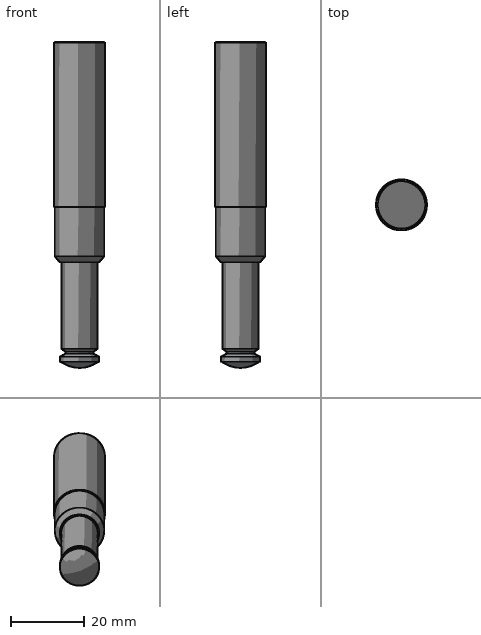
import cadquery as cq

total_height = 89.0
shank_bottom = 43.8
collar_bottom = 28.8
rod_bottom = 5.25
rim_top = 3.1
rim_bottom = 1.8

shank_diameter = 14.0
collar_diameter = 13.5
collar_end_diameter = 10.8
rod_diameter = 9.9
neck_diameter = 7.7
head_diameter = 10.8

shank_top_chamfer_height = 0.4
shank_top_chamfer_width = 0.5
shank_bottom_chamfer = 0.3
collar_cone_height = 1.6
rod_bevel_height = 0.8
head_cone_height = 0.8

rod_radius = rod_diameter / 2
neck_radius = neck_diameter / 2
head_radius = head_diameter / 2


def revolve_profile(profile):
    """Turn a closed (radius, height) profile about the Z axis."""
    return profile.close().revolve(360, (0, 0, 0), (0, 1, 0))


def make_shank():
    """Long cylinder with bevelled edges."""
    radius = shank_diameter / 2
    return revolve_profile(
        cq.Workplane("XZ")
        .moveTo(0, shank_bottom)
        .lineTo(radius - shank_bottom_chamfer, shank_bottom)
        .lineTo(radius, shank_bottom + shank_bottom_chamfer)
        .lineTo(radius, total_height - shank_top_chamfer_height)
        .lineTo(radius - shank_top_chamfer_width, total_height)
        .lineTo(0, total_height)
    )


def make_collar():
    """Cylinder below the shank, tapering to a cone at its lower end."""
    radius = collar_diameter / 2
    return revolve_profile(
        cq.Workplane("XZ")
        .moveTo(0, collar_bottom)
        .lineTo(collar_end_diameter / 2, collar_bottom)
        .lineTo(radius, collar_bottom + collar_cone_height)
        .lineTo(radius, shank_bottom)
        .lineTo(0, shank_bottom)
    )


def make_plunger():
    """Rod with a bevelled lower end, a neck and a double-cone head with a rounded tip."""
    tip_radius = neck_radius
    tip_height = rim_bottom - head_cone_height
    tip_sphere_radius = (tip_radius**2 + tip_height**2) / (2 * tip_height)
    arc_mid_radius = tip_radius / 2
    arc_mid_height = tip_sphere_radius - (tip_sphere_radius**2 - arc_mid_radius**2) ** 0.5
    return revolve_profile(
        cq.Workplane("XZ")
        .moveTo(0, 0)
        .threePointArc((arc_mid_radius, arc_mid_height), (tip_radius, tip_height))
        .lineTo(head_radius, rim_bottom)
        .lineTo(head_radius, rim_top)
        .lineTo(neck_radius, rim_top + head_cone_height)
        .lineTo(neck_radius, rod_bottom - rod_bevel_height)
        .lineTo(rod_radius, rod_bottom)
        .lineTo(rod_radius, collar_bottom)
        .lineTo(0, collar_bottom)
    )


shank = make_shank()
collar = make_collar()
plunger = make_plunger()

result = cq.Compound.makeCompound([shank.val(), collar.val(), plunger.val()])